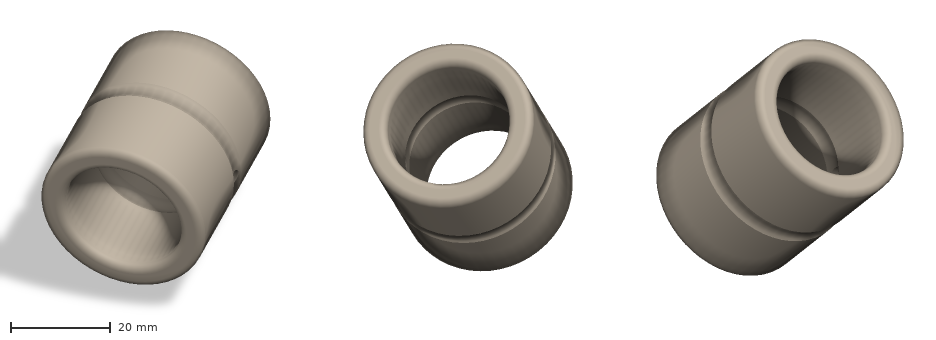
import cadquery as cq

length = 40.0
outer_diameter = 35.0
bore_diameter = 25.0
end_rounding = 1.5

groove_width = 4.2
groove_depth = 0.65

oil_hole_diameter = 3.0

outer_radius = outer_diameter / 2
bore_radius = bore_diameter / 2


def make_sleeve():
    """Plain tube with rounded rims at both ends."""
    tube = (
        cq.Workplane("XZ")
        .circle(outer_radius)
        .circle(bore_radius)
        .extrude(length / 2, both=True)
    )
    return tube.faces("<Y or >Y").edges().fillet(end_rounding)


def make_groove_cutter(surface_radius, direction):
    """Ring with an arc-shaped floor; direction is -1 to cut toward the axis, +1 away from it."""
    half_width = groove_width / 2
    floor_radius = surface_radius + direction * groove_depth
    clear_radius = surface_radius - direction * groove_depth
    return (
        cq.Workplane("XY")
        .moveTo(surface_radius, -half_width)
        .threePointArc((floor_radius, 0), (surface_radius, half_width))
        .lineTo(clear_radius, half_width)
        .lineTo(clear_radius, -half_width)
        .close()
        .revolve(360, (0, 0, 0), (0, 1, 0))
    )


def make_oil_hole_cutter():
    """Cylinder from the part axis out through the +X wall."""
    return cq.Workplane("YZ").circle(oil_hole_diameter / 2).extrude(outer_radius)


result = (
    make_sleeve()
    .cut(make_groove_cutter(outer_radius, -1))
    .cut(make_groove_cutter(bore_radius, 1))
    .cut(make_oil_hole_cutter())
)